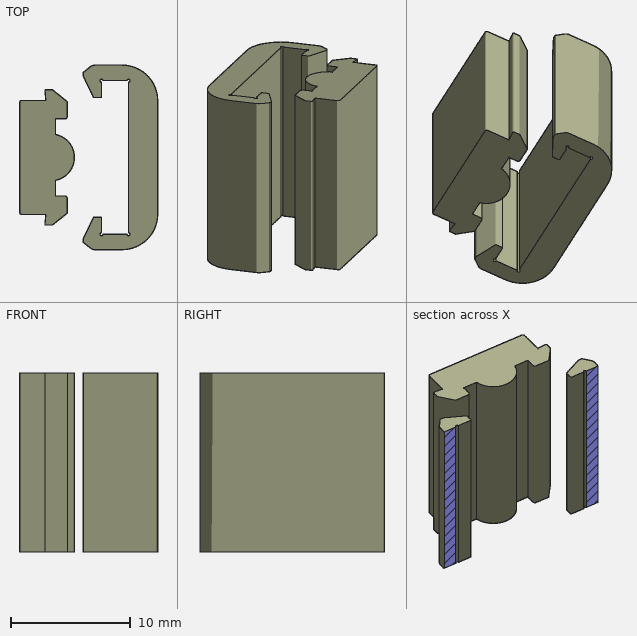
import cadquery as cq

length = 15.0

housing_width = 15.46
housing_back_x = 11.56
housing_corner_radius = 3.0
mouth_x = 5.32
hook_inner_x = 6.85
hook_tip_x = 6.18
hook_tip_y = 5.0
lead_in_y = 6.79
bevel_y = 7.11
bevel_end_x = 6.09
bevel_blend_radius = 0.62
lead_in_fillet = 0.2
hook_tip_fillet = 0.08
channel_half_width = 6.42
channel_floor_x = 9.1
relief_radius = 0.12

body_half_width = 4.78
body_corner_fillet = 0.19
barb_half_width = 5.67
barb_root_x = 2.18
barb_undercut = 0.08
barb_top_end_x = 2.74
barb_front_x = 3.99
barb_slope_end_y = 4.67
barb_inner_y = 3.22
barb_inner_fillet = 0.2
barb_edge_fillet = 0.1
web_x = 3.01
rib_radius = 1.96
rib_tip_x = 4.59


def mirrored(points):
    """Close a +Y half outline with its mirror image in -Y."""
    return points + [(x, -y) for x, y in reversed(points)]


def prism(points):
    return cq.Workplane("XY").polyline(mirrored(points)).close().extrude(length)


def fillet_edges(body, x, y, radius):
    """Round the two mirrored upright edges at (x, y) and (x, -y)."""
    for side in (1, -1):
        edge = cq.selectors.NearestToPointSelector((x, side * y, length / 2))
        body = body.edges("|Z").edges(edge).fillet(radius)
    return body


def make_housing():
    half_width = housing_width / 2
    body = prism([
        (housing_back_x, half_width),
        (bevel_end_x, half_width),
        (mouth_x, bevel_y),
        (mouth_x, lead_in_y),
        (hook_tip_x, hook_tip_y),
        (hook_inner_x, hook_tip_y),
        (hook_inner_x, channel_half_width),
        (channel_floor_x, channel_half_width),
    ])
    body = fillet_edges(body, housing_back_x, half_width, housing_corner_radius)
    body = fillet_edges(body, bevel_end_x, half_width, bevel_blend_radius)
    body = fillet_edges(body, mouth_x, lead_in_y, lead_in_fillet)
    for tip_x in (hook_tip_x, hook_inner_x):
        body = fillet_edges(body, tip_x, hook_tip_y, hook_tip_fillet)
    relief_centers = [
        (x, side * channel_half_width)
        for x in (hook_inner_x, channel_floor_x)
        for side in (1, -1)
    ]
    reliefs = cq.Workplane("XY").pushPoints(relief_centers).circle(relief_radius).extrude(length)
    return body.cut(reliefs)


def make_insert():
    barb_back_x = barb_root_x - barb_undercut
    body = prism([
        (0, body_half_width),
        (barb_root_x, body_half_width),
        (barb_back_x, barb_half_width),
        (barb_top_end_x, barb_half_width),
        (barb_front_x, barb_slope_end_y),
        (barb_front_x, barb_inner_y),
        (web_x, barb_inner_y),
    ])
    body = fillet_edges(body, 0, body_half_width, body_corner_fillet)
    body = fillet_edges(body, barb_back_x, barb_half_width, barb_edge_fillet)
    body = fillet_edges(body, barb_top_end_x, barb_half_width, barb_edge_fillet)
    body = fillet_edges(body, barb_front_x, barb_slope_end_y, barb_edge_fillet)
    body = fillet_edges(body, barb_front_x, barb_inner_y, barb_inner_fillet)
    rib_center_x = rib_tip_x - rib_radius
    rib = cq.Workplane("XY").center(rib_center_x, 0).circle(rib_radius).extrude(length)
    return body.union(rib)


housing = make_housing()
insert = make_insert()
result = cq.Compound.makeCompound([housing.val(), insert.val()])